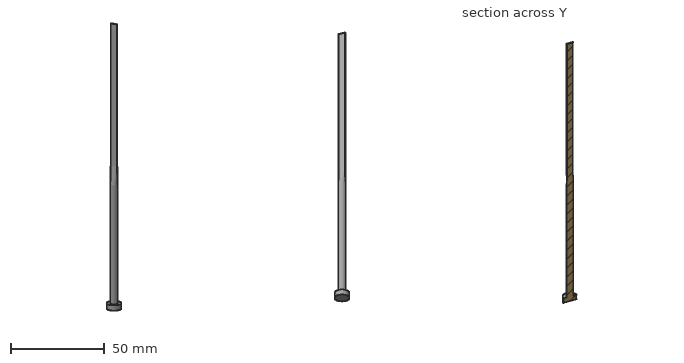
import cadquery as cq

total_length = 160.0
head_diameter = 8.0
head_height = 3.0
shaft_diameter = 4.2
blade_width = 3.8
blade_thickness = 0.8
blade_length = 80.0
transition_length = 10.0

blade_base = total_length - blade_length
shaft_top = blade_base - transition_length


def make_head():
    return cq.Workplane("XY").circle(head_diameter / 2).extrude(head_height)


def make_shaft():
    return cq.Workplane("XY").circle(shaft_diameter / 2).extrude(shaft_top)


def make_transition():
    """Blend the round shaft into the flat blade."""
    return (
        cq.Workplane("XY", origin=(0, 0, shaft_top))
        .circle(shaft_diameter / 2)
        .workplane(offset=transition_length)
        .rect(blade_width, blade_thickness)
        .loft(ruled=True, combine=True)
    )


def make_blade():
    return (
        cq.Workplane("XY", origin=(0, 0, blade_base))
        .rect(blade_width, blade_thickness)
        .extrude(blade_length)
    )


result = make_head().union(make_shaft()).union(make_transition()).union(make_blade())